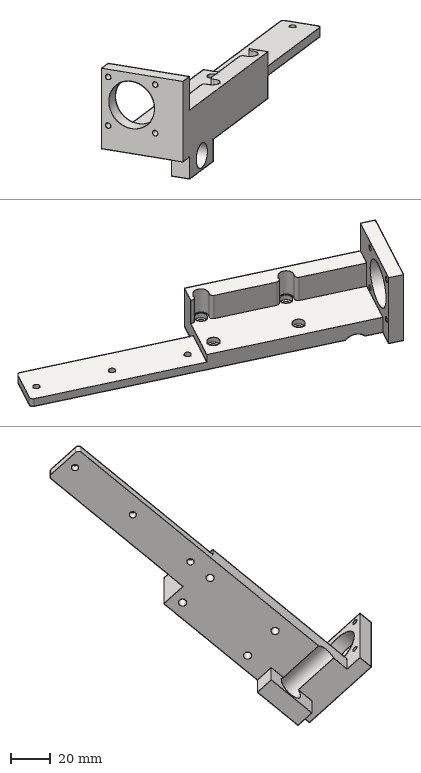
import cadquery as cq
import math


total_length = 194.0
total_width = 45.0
total_height = 55.0

plate_thickness = 8.0
plate_height = 43.0
bore_diameter = 25.2
bore_x = 16.7
bore_top_distance = 17.0
bore_z = plate_height - bore_top_distance
plate_hole_pitch = 26.0
plate_hole_diameter = 3.0

base_width = 35.7
base_length = 93.0
base_thickness = 9.9
base_left = total_width - base_width
base_back = plate_thickness + base_length
wall_thickness = 10.0
wall_top = 25.0
wall_left = total_width - wall_thickness

screw_diameter = 4.0
counterbore_diameter = 6.6
counterbore_depth = 3.1
screw_pitch_x = 20.0
screw_pitch_y = 45.0
screw_left_distance = 8.7
screw_back_distance = 6.5
screw_left = base_left + screw_left_distance
screw_right = screw_left + screw_pitch_x
screw_back = base_back - screw_back_distance
screw_rows = [screw_back, screw_back - screw_pitch_y]

relief_radius = 4.0
lip_radius = 2.0

tongue_width = 21.7
tongue_thickness = 5.0
tongue_corner_radius = 2.0
tongue_hole_diameter = 3.5
tongue_hole_pitch = 40.0
tongue_hole_count = 3
tongue_hole_tip_distance = 6.0

lug_width = 10.0
lug_length = 28.1
lug_drop = total_height - plate_height
cross_hole_diameter = 13.2
cross_hole_plate_distance = 14.5
cross_hole_y = plate_thickness + cross_hole_plate_distance
cross_hole_z = -4.0


def box(x, y, z, width, length, height):
    """Box whose lowest corner sits at (x, y, z)."""
    return cq.Workplane("XY").box(width, length, height, centered=False).translate((x, y, z))


def upright_cylinder(x, y, z, diameter, height):
    return cq.Workplane("XY", origin=(x, y, z)).circle(diameter / 2).extrude(height)


def end_plate():
    plate = box(0, 0, 0, total_width, plate_thickness, plate_height)
    bore_face = cq.Workplane("XZ", origin=(bore_x, plate_thickness, bore_z))
    bore = bore_face.circle(bore_diameter / 2).extrude(plate_thickness)
    holes = (
        bore_face.rect(plate_hole_pitch, plate_hole_pitch, forConstruction=True)
        .vertices()
        .circle(plate_hole_diameter / 2)
        .extrude(plate_thickness)
    )
    return plate.cut(bore).cut(holes)


def tongue():
    length = total_length - base_back
    strip = box(base_left, base_back, 0, tongue_width, length, tongue_thickness)
    strip = strip.edges("|Z and >Y").fillet(tongue_corner_radius)
    for index in range(tongue_hole_count):
        y = total_length - tongue_hole_tip_distance - index * tongue_hole_pitch
        strip = strip.cut(upright_cylinder(screw_left, y, 0, tongue_hole_diameter, tongue_thickness))
    return strip


def wall_relief(y):
    """Round pocket that opens through the wall's inner face, flaring out over its rounded lips."""
    lip_x = wall_left + lip_radius
    reach = relief_radius + lip_radius
    offset_x = lip_x - screw_right
    lip_offset_y = math.sqrt(reach**2 - offset_x**2)
    touch_x = screw_right + offset_x * relief_radius / reach
    touch_offset_y = lip_offset_y * relief_radius / reach
    touch_angle = math.atan2(-lip_offset_y, -offset_x)
    middle_angle = (touch_angle - math.pi) / 2
    middle_x = lip_x + lip_radius * math.cos(middle_angle)
    middle_offset_y = lip_offset_y + lip_radius * math.sin(middle_angle)
    return (
        cq.Workplane("XY", origin=(0, y, base_thickness))
        .moveTo(wall_left, lip_offset_y)
        .threePointArc((middle_x, middle_offset_y), (touch_x, touch_offset_y))
        .threePointArc((screw_right + relief_radius, 0), (touch_x, -touch_offset_y))
        .threePointArc((middle_x, -middle_offset_y), (wall_left, -lip_offset_y))
        .close()
        .extrude(wall_top - base_thickness)
    )


def side_wall():
    height = wall_top - base_thickness
    wall = box(wall_left, plate_thickness, base_thickness, wall_thickness, base_length, height)
    for y in screw_rows:
        wall = wall.cut(wall_relief(y))
    return wall


def screw_hole(x, y):
    hole = upright_cylinder(x, y, 0, screw_diameter, base_thickness)
    counterbore_floor = base_thickness - counterbore_depth
    return hole.union(upright_cylinder(x, y, counterbore_floor, counterbore_diameter, counterbore_depth))


base = box(base_left, plate_thickness, 0, base_width, base_length, base_thickness)
lug = box(total_width - lug_width, plate_thickness, -lug_drop, lug_width, lug_length, lug_drop)
cross_hole = (
    cq.Workplane("YZ", origin=(base_left, cross_hole_y, cross_hole_z))
    .circle(cross_hole_diameter / 2)
    .extrude(base_width)
)

result = base.union(side_wall()).union(tongue()).union(lug).union(end_plate())
for screw_x in (screw_left, screw_right):
    for screw_y in screw_rows:
        result = result.cut(screw_hole(screw_x, screw_y))
result = result.cut(cross_hole)